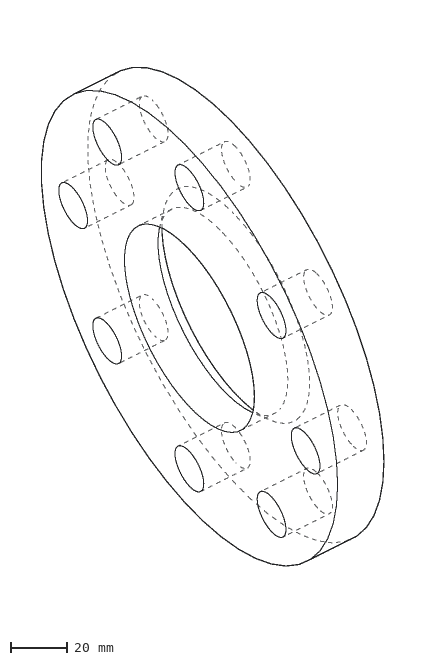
import cadquery as cq

outer_diameter = 185.0
thickness = 20.0
bore_diameter = 81.0
bore_chamfer = 5.5

bolt_circle_diameter = 145.0
bolt_hole_diameter = 18.0
bolt_hole_count = 8


def flange_ring():
    """Flat ring centred on the origin, from Y = 0 to Y = -thickness."""
    return (
        cq.Workplane("XZ")
        .circle(outer_diameter / 2)
        .circle(bore_diameter / 2)
        .extrude(thickness)
    )


def bore_chamfer_cone():
    """Cone frustum that widens the bore towards the back face at Y = 0."""
    bore_radius = bore_diameter / 2
    return (
        cq.Workplane("XZ")
        .circle(bore_radius + bore_chamfer)
        .workplane(offset=bore_chamfer)
        .circle(bore_radius)
        .loft()
    )


def bolt_holes():
    """Cylinders that cut the bolt holes through the full thickness."""
    return (
        cq.Workplane("XZ")
        .polarArray(bolt_circle_diameter / 2, 0, 360, bolt_hole_count)
        .circle(bolt_hole_diameter / 2)
        .extrude(thickness)
    )


result = flange_ring().cut(bore_chamfer_cone()).cut(bolt_holes())